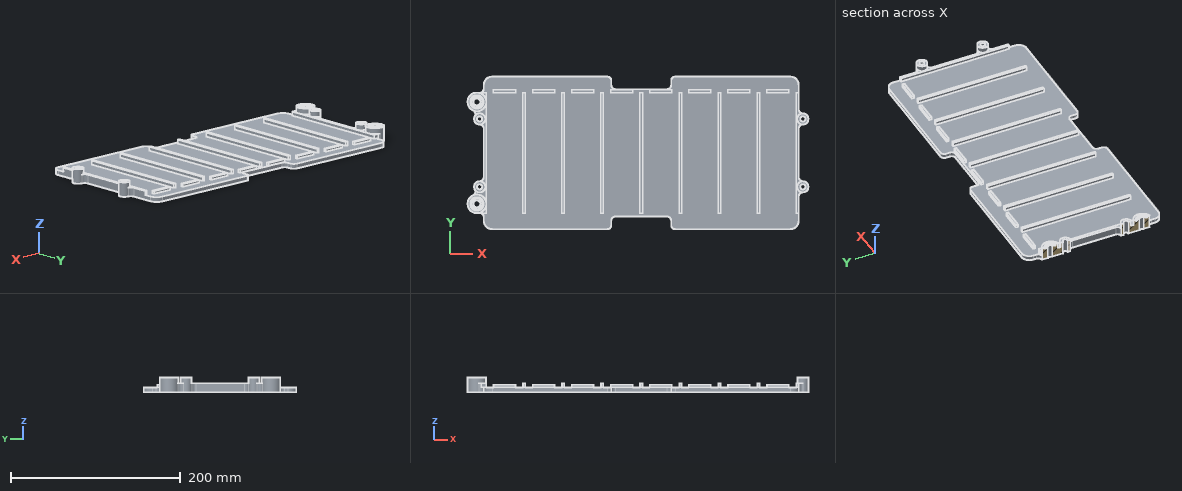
import cadquery as cq
import math

overall_length = 401.5

plate_length = 371.0
plate_width = 180.0
plate_thickness = 6.0
plate_corner_radius = 10.0
notch_length = 70.3
notch_depth = 15.0
small_radius = 5.0
half_length = plate_length / 2
half_width = plate_width / 2

boss_top = 17.5
large_boss_radius = 22.0 / 2
small_boss_radius = 13.2 / 2
small_boss_x = 380.5 / 2
small_boss_y = 80.0 / 2
large_boss_x = small_boss_x + small_boss_radius + large_boss_radius - overall_length
large_boss_y = 120.0 / 2

large_hole_radius = 4.0
groove_outer_radius = 8.0
groove_inner_radius = 6.5
groove_depth = 2.0
small_hole_radius = 3.0

rib_width = 3.0
rib_top = 11.0
rib_pitch = 45.97
rib_half_length = large_boss_y + large_boss_radius
ribs_per_side = 3
short_rib_length = 26.0
short_rib_top = 9.2
short_rib_y = rib_half_length + rib_width / 2
short_rib_count = 8

left_wall_width = 3.2
right_wall_width = 3.0

large_boss = (large_boss_x, large_boss_y, large_boss_radius)
left_small_boss = (-small_boss_x, small_boss_y, small_boss_radius)
right_small_boss = (small_boss_x, small_boss_y, small_boss_radius)
bosses = [large_boss, left_small_boss, right_small_boss]


def block(x_min, x_max, y_min, y_max, z_min, z_max):
    size = (x_max - x_min, y_max - y_min, z_max - z_min)
    return cq.Workplane("XY").box(*size, centered=False).translate((x_min, y_min, z_min))


def cylinder(x, y, radius, z_min, z_max):
    return cq.Workplane("XY", origin=(x, y, z_min)).circle(radius).extrude(z_max - z_min)


def mirrored(solid):
    """The solid together with its mirror image about the X axis."""
    return solid.union(solid.mirror("XZ"))


def concave_fillet(points, center, height):
    """Filler with the given corners, hollowed by a fillet circle."""
    filler = cq.Workplane("XY").polyline(points).close().extrude(height)
    return filler.cut(cylinder(*center, small_radius, 0, height))


def edge_fillet(boss, side, height):
    """Fillet from a boss to the plate end; side is +1 above the boss, -1 below it."""
    x, y, radius = boss
    edge_x = math.copysign(half_length, x)
    center_x = edge_x + math.copysign(small_radius, x)
    reach = math.sqrt((radius + small_radius) ** 2 - (center_x - x) ** 2)
    center = (center_x, y + side * reach)
    inside_x = edge_x - math.copysign(small_radius, x)
    points = [(x, y), center, (edge_x, center[1]), (inside_x, center[1]), (inside_x, y)]
    return concave_fillet(points, center, height)


def boss_fillet(first, second, height):
    """Fillet tangent to two bosses, on their outer side at the -X end."""
    x1, y1, radius1 = first
    x2, y2, radius2 = second
    gap = math.hypot(x2 - x1, y2 - y1)
    reach1 = radius1 + small_radius
    reach2 = radius2 + small_radius
    along = (reach1 ** 2 - reach2 ** 2 + gap ** 2) / (2 * gap)
    across = math.sqrt(reach1 ** 2 - along ** 2)
    ux = (x2 - x1) / gap
    uy = (y2 - y1) / gap
    center = (x1 + along * ux + across * uy, y1 + along * uy - across * ux)
    points = [(x1, y1), center, (x2, y2), (-half_length, y2), (-half_length, y1)]
    return concave_fillet(points, center, height)


def footprint(height):
    """Plate outline with bosses and fillets, extruded to the given height."""
    body = cq.Workplane("XY").rect(plate_length, plate_width).extrude(height)
    body = body.edges("|Z").fillet(plate_corner_radius)
    notch = block(
        -notch_length / 2, notch_length / 2, half_width - notch_depth, half_width + notch_depth, 0, height
    )
    body = body.cut(mirrored(notch))
    notch_corners = cq.selectors.BoxSelector(
        (-notch_length, -plate_width, -height), (notch_length, plate_width, 2 * height)
    )
    body = body.edges("|Z").edges(notch_corners).fillet(small_radius)

    for boss in bosses:
        body = body.union(mirrored(cylinder(*boss, 0, height)))
    fillets = [
        edge_fillet(large_boss, 1, height),
        boss_fillet(large_boss, left_small_boss, height),
        edge_fillet(left_small_boss, -1, height),
        edge_fillet(right_small_boss, 1, height),
        edge_fillet(right_small_boss, -1, height),
    ]
    for fillet in fillets:
        body = body.union(mirrored(fillet))
    return body


def end_walls():
    """Raised strips that follow the outline along both plate ends."""
    left_face = -half_length + left_wall_width
    right_face = half_length - right_wall_width
    strips = block(-plate_length, left_face, -rib_half_length, rib_half_length, 0, rib_top)
    strips = strips.union(block(right_face, plate_length, -rib_half_length, rib_half_length, 0, rib_top))
    return footprint(rib_top).intersect(strips)


def drill(body, boss, radius):
    return body.cut(mirrored(cylinder(boss[0], boss[1], radius, 0, boss_top)))


result = footprint(plate_thickness).union(end_walls())

for boss in bosses:
    result = result.union(mirrored(cylinder(*boss, 0, boss_top)))

for index in range(-ribs_per_side, ribs_per_side + 1):
    left = index * rib_pitch - rib_width / 2
    rib = block(left, left + rib_width, -rib_half_length, rib_half_length, 0, rib_top)
    result = result.union(rib)

for index in range(short_rib_count):
    middle = (index - (short_rib_count - 1) / 2) * rib_pitch
    left = middle - short_rib_length / 2
    bottom = short_rib_y - rib_width / 2
    rib = block(left, left + short_rib_length, bottom, bottom + rib_width, 0, short_rib_top)
    result = result.union(rib)

groove_bottom = boss_top - groove_depth
groove = cylinder(large_boss_x, large_boss_y, groove_outer_radius, groove_bottom, boss_top)
groove = groove.cut(cylinder(large_boss_x, large_boss_y, groove_inner_radius, groove_bottom, boss_top))
result = result.cut(mirrored(groove))

result = drill(result, large_boss, large_hole_radius)
result = drill(result, left_small_boss, small_hole_radius)
result = drill(result, right_small_boss, small_hole_radius)